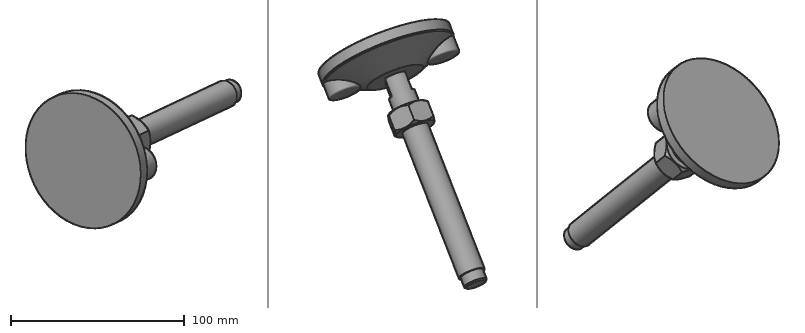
import cadquery as cq
import math

TOTAL_LENGTH = 150.0

PAD_RADIUS = 40.5
RIM_HEIGHT = 6.6
RIM_EDGE_SIZE = 0.8
PAD_TOP_RADIUS = 17.2
PAD_HEIGHT = 18.0

BOSS_RADIUS = 9.9
BOSS_OFFSET = 30.3
BOSS_TOP = 17.0
BOSS_EDGE_RADIUS = 0.9

STEM_DIAMETER = 16.0
TIP_DIAMETER = 14.0
TIP_LENGTH = 6.9
TIP_CHAMFER = 0.9
WRENCH_WIDTH = 12.3
WRENCH_TOP = 29.1

NUT_ACROSS_FLATS = 24.0
NUT_BOTTOM = 38.0
NUT_HEIGHT = 12.9
NUT_CHAMFER_RADIAL = 2.1
NUT_CHAMFER_AXIAL = 1.8


def cylinder_along_y(radius, start, end, x=0.0):
    """Solid cylinder parallel to Y between two heights."""
    plane = cq.Plane(origin=(x, start, 0), xDir=(1, 0, 0), normal=(0, 1, 0))
    return cq.Workplane(plane).circle(radius).extrude(end - start)


def revolve_about_y(points):
    """Solid of revolution from a closed (radius, height) outline."""
    return cq.Workplane("XY").polyline(points).close().revolve(360, (0, 0), (0, 1))


def make_pad():
    return revolve_about_y([
        (0, 0),
        (PAD_RADIUS, 0),
        (PAD_RADIUS, RIM_HEIGHT),
        (PAD_RADIUS - RIM_EDGE_SIZE, RIM_HEIGHT + RIM_EDGE_SIZE),
        (PAD_TOP_RADIUS, PAD_HEIGHT),
        (0, PAD_HEIGHT),
    ])


def make_boss(side):
    boss = cylinder_along_y(BOSS_RADIUS, RIM_HEIGHT / 2, BOSS_TOP, side * BOSS_OFFSET)
    return boss.faces(">Y").edges().fillet(BOSS_EDGE_RADIUS)


def make_stem():
    shoulder = TOTAL_LENGTH - TIP_LENGTH
    stem = cylinder_along_y(STEM_DIAMETER / 2, PAD_HEIGHT / 2, shoulder)
    tip = cylinder_along_y(TIP_DIAMETER / 2, shoulder, TOTAL_LENGTH)
    tip = tip.faces(">Y").edges().chamfer(TIP_CHAMFER)
    for side in (-1, 1):
        waste = cq.Workplane("XY").box(STEM_DIAMETER, WRENCH_TOP, STEM_DIAMETER, centered=(True, False, True))
        stem = stem.cut(waste.translate((side * (WRENCH_WIDTH + STEM_DIAMETER) / 2, 0, 0)))
    return stem.union(tip)


def make_nut():
    corner_radius = NUT_ACROSS_FLATS / 2 / math.cos(math.pi / 6)
    plane = cq.Plane(origin=(0, NUT_BOTTOM, 0), xDir=(0, 0, 1), normal=(0, 1, 0))
    hexagon = cq.Workplane(plane).polygon(6, 2 * corner_radius).extrude(NUT_HEIGHT)
    envelope = cylinder_along_y(corner_radius, NUT_BOTTOM, NUT_BOTTOM + NUT_HEIGHT)
    envelope = envelope.faces(">Y").edges().chamfer(NUT_CHAMFER_AXIAL, NUT_CHAMFER_RADIAL)
    envelope = envelope.faces("<Y").edges().chamfer(NUT_CHAMFER_AXIAL, NUT_CHAMFER_RADIAL)
    return hexagon.intersect(envelope)


result = make_pad().union(make_stem()).union(make_nut())
for boss_side in (-1, 1):
    result = result.union(make_boss(boss_side))